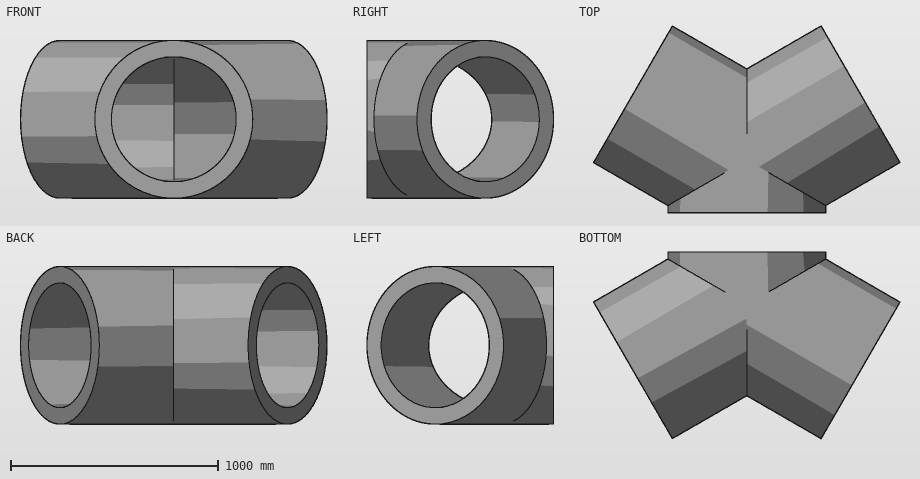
import cadquery as cq
import math

overall_width = 1481
outer_diameter = 763.0
bore_diameter = 603.0
stub_length = 255.0
arm_angle = 30

angle = math.radians(arm_angle)
arm_length = (overall_width / 2 - outer_diameter / 2 * math.sin(angle)) / math.cos(angle)

branches = [
    (arm_angle, arm_length),
    (180 - arm_angle, arm_length),
    (270, stub_length),
]
sector_half_angle = math.radians(60)
sector_reach = 2 * overall_width


def branch_cylinder(diameter, direction, length):
    """Round bar running outward, trimmed at the mitre planes of its 120 degree sector."""
    bar = cq.Workplane("YZ").circle(diameter / 2).extrude(length + diameter)
    bar = bar.translate((-diameter, 0, 0))
    edge_x = sector_reach * math.cos(sector_half_angle)
    edge_y = sector_reach * math.sin(sector_half_angle)
    sector = (
        cq.Workplane("XY")
        .polyline([(0, 0), (edge_x, -edge_y), (edge_x, edge_y)])
        .close()
        .extrude(outer_diameter, both=True)
    )
    return bar.intersect(sector).rotate((0, 0, 0), (0, 0, 1), direction)


def mitred_pipes(diameter):
    """Three bars joined along their mitre planes."""
    body = cq.Workplane("XY")
    for direction, length in branches:
        body = body.add(branch_cylinder(diameter, direction, length))
    return body.combine()


result = mitred_pipes(outer_diameter).cut(mitred_pipes(bore_diameter))